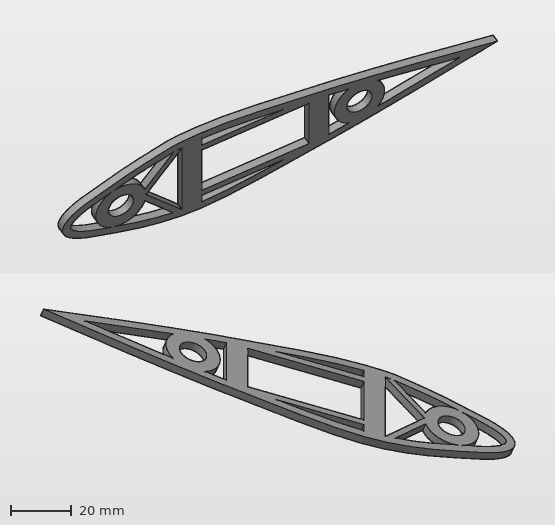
import math

import cadquery as cq

chord = 165.1
max_height = 38.1
thickness = 3.0
skin_width = 3.1

crest = (52.7, max_height / 2)
outer_nose = [
    (0, 0), (1.5, 3.7), (4.0, 5.97), (12.4, 9.95), (19.9, 12.5), (27.4, 14.95), (37.3, 17.4), crest
]
outer_tail = [crest, (74.6, 17.16), (119.9, 9.61), (chord, 0)]
tail_direction = (1.0, -0.22)

ring_positions = (22.225, 112.7125)
ring_diameter = 19.05
hole_diameter = 9.525

opening_length = 40.64
opening_height = 20.32
opening_start = 52.9
rail_outer_height = 25.4
spar_width = 7.5
front_spar_start = opening_start - spar_width
opening_end = opening_start + opening_length
rear_spar_end = opening_end + spar_width

brace_root_height = 15.6
brace_span = 3.0


def rib_plane():
    return cq.Workplane("YZ")


def plate(sketch):
    return sketch.extrude(thickness)


def disc(position, diameter):
    return plate(rib_plane().center(position, 0).circle(diameter / 2))


def box(start, end, height):
    """Plate block centred on the chord line, from start to end along the chord."""
    return plate(rib_plane().center((start + end) / 2, 0).rect(end - start, height))


def spline(points, start_direction, end_direction):
    return cq.Edge.makeSpline(
        [cq.Vector(*point) for point in points],
        tangents=[cq.Vector(*start_direction), cq.Vector(*end_direction)],
    )


def nose_edge(stations):
    """Spline from the lower crest around the nose to the upper crest."""
    lower = [(y, -z) for y, z in reversed(stations[1:])]
    return spline(lower + stations, (-1, 0), (1, 0))


def tail_edge(stations):
    """Spline along the upper flank from the crest to the tail tip."""
    return spline(stations, (1, 0), tail_direction)


def inset_point(edge, station):
    """Point one skin width inside a station, square to an edge that runs toward +Y there."""
    tangent = edge.tangentAt(edge.paramAt(cq.Vector(*station)), mode="parameter")
    return (station[0] + tangent.y * skin_width, station[1] - tangent.x * skin_width)


def aerofoil_plate(nose, tail):
    """Plate bounded by the nose spline and by the tail spline on both flanks."""
    upper_tail = tail_edge(tail)
    wire = cq.Wire.assembleEdges([nose_edge(nose), upper_tail, upper_tail.mirror("XZ")])
    return plate(rib_plane().add(wire.moved(cq.Location(cq.Plane.YZ()))).toPending())


def inset_nose():
    outer_edge = nose_edge(outer_nose)
    return [(skin_width, 0)] + [inset_point(outer_edge, station) for station in outer_nose[1:]]


def inset_tail():
    """Tail stations moved inward; the tip slides along the chord line to where the flanks meet."""
    outer_edge = tail_edge(outer_tail)
    tip_shift = skin_width / math.sin(math.atan2(-tail_direction[1], tail_direction[0]))
    moved = [inset_point(outer_edge, station) for station in outer_tail[:-1]]
    return moved + [(chord - tip_shift, 0)]


def brace(side):
    """Diagonal strip whose spar-side edge ends at the ring point nearest the front spar."""
    ring_edge = ring_positions[0] + ring_diameter / 2
    outline = [
        (front_spar_start, side * brace_root_height),
        (ring_edge, 0),
        (ring_edge - brace_span, 0),
        (front_spar_start - brace_span, side * brace_root_height),
    ]
    return plate(rib_plane().polyline(outline).close())


def webs():
    """Everything that crosses the cavity: spars, rails, rings and braces."""
    front_spar = box(front_spar_start, opening_start, max_height)
    rear_spar = box(opening_end, rear_spar_end, max_height)
    rail_block = box(opening_start, opening_end, rail_outer_height)
    solids = front_spar.union(rear_spar).union(rail_block)
    for position in ring_positions:
        solids = solids.union(disc(position, ring_diameter))
    for side in (1, -1):
        solids = solids.union(brace(side))
    return solids


body = aerofoil_plate(outer_nose, outer_tail)
cavity = aerofoil_plate(inset_nose(), inset_tail())

result = body.cut(cavity.cut(webs()))
result = result.cut(box(opening_start, opening_end, opening_height))
for position in ring_positions:
    result = result.cut(disc(position, hole_diameter))